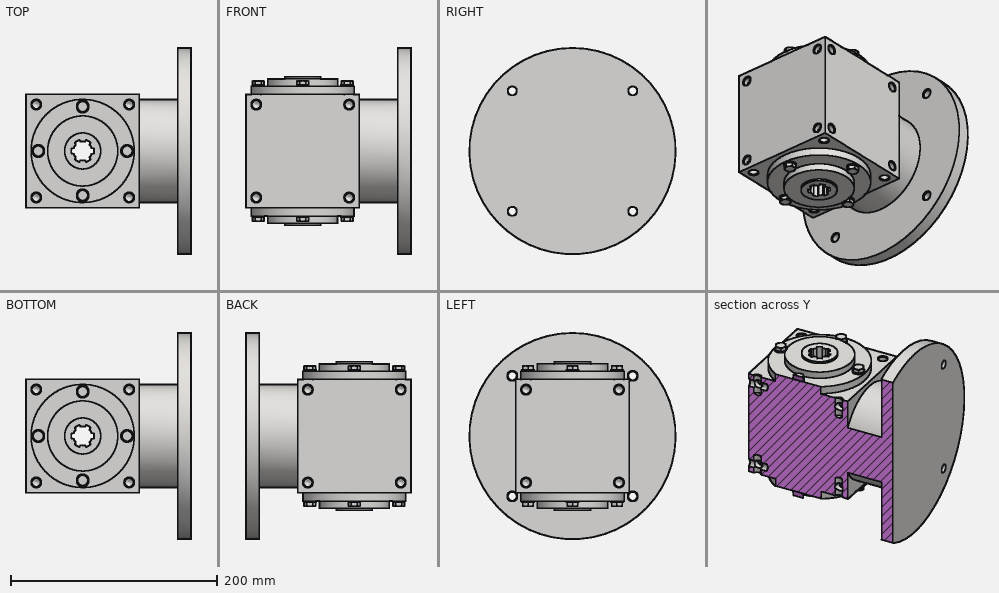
import cadquery as cq
import math


cube = 110.0
cover_diameter = 100.0
cover_height = 8.0
boss_diameter = 68.0
boss_height = 7.0
neck_diameter = 100.0
neck_length = 37.0
flange_diameter = 200.0
flange_thickness = 13.0

hole_diameter = 8.5
hole_mouth_diameter = 10.0
hole_chamfer = (hole_mouth_diameter - hole_diameter) / 2
hole_depth = 20.0
drill_point_angle = 118.0
hole_edge_distance = 10.0
flange_hole_circle = 165.0
flange_hole_count = 4
flange_hole_start_angle = 45.0

shaft_diameter = 35.0
shaft_projection = 2.0
spline_minor_diameter = 18.0
spline_major_diameter = 22.0
spline_width = 5.0
spline_count = 6

bolts_per_cover = 4
bolt_circle = 86.0
hex_sides = 6
hex_across_flats = 10.0
hex_height = 4.0
hex_chamfer_angle = 30.0
collar_diameter = 12.0
collar_height = 1.0

half_cube = cube / 2
cover_face = half_cube + cover_height
boss_face = cover_face + boss_height
shaft_length = 2 * (boss_face + shaft_projection)
flange_back = half_cube + neck_length
hole_offset = half_cube - hole_edge_distance


def cylinder(diameter, length, start, direction):
    """Cylinder with its first end centred at start, running along direction."""
    return cq.Solid.makeCylinder(diameter / 2, length, cq.Vector(*start), cq.Vector(*direction))


def mouth_cone(start, direction):
    """Chamfer cutter that widens a hole where it opens at start."""
    return cq.Solid.makeCone(
        hole_mouth_diameter / 2, hole_diameter / 2, hole_chamfer,
        cq.Vector(*start), cq.Vector(*direction),
    )


def blind_hole():
    """Cutter for a chamfered blind hole with a drill point, going down from the origin."""
    radius = hole_diameter / 2
    tip = hole_depth + radius / math.tan(math.radians(drill_point_angle / 2))
    return (
        cq.Workplane("XZ")
        .moveTo(0, 0)
        .lineTo(hole_mouth_diameter / 2, 0)
        .lineTo(radius, -hole_chamfer)
        .lineTo(radius, -hole_depth)
        .lineTo(0, -tip)
        .close()
        .revolve(360, (0, 0, 0), (0, 1, 0))
    )


def face_holes():
    """Cutter for the four corner holes of the top cube face."""
    corner_span = 2 * hole_offset
    hole = blind_hole().val()
    return (
        cq.Workplane("XY")
        .workplane(offset=half_cube)
        .rect(corner_span, corner_span, forConstruction=True)
        .vertices()
        .eachpoint(lambda place: hole.moved(place), combine=False)
    )


def drill_cube(body):
    """Drill the corner holes in every cube face except the one that carries the neck."""
    top_holes = face_holes()
    for angle in (0, 90, 180, 270):
        body = body.cut(top_holes.rotate((0, 0, 0), (1, 0, 0), angle))
    return body.cut(top_holes.rotate((0, 0, 0), (0, 1, 0), -90))


def drill_flange(body):
    """Drill the four through holes of the flange, chamfered on the side facing the cube."""
    for index in range(flange_hole_count):
        angle = math.radians(flange_hole_start_angle + index * 360 / flange_hole_count)
        y = flange_hole_circle / 2 * math.cos(angle)
        z = flange_hole_circle / 2 * math.sin(angle)
        start = (flange_back, y, z)
        body = body.cut(cq.Workplane(cylinder(hole_diameter, flange_thickness, start, (1, 0, 0))))
        body = body.cut(cq.Workplane(mouth_cone(start, (1, 0, 0))))
    return body


def make_housing():
    """Cube with a stepped cover above and below, a flanged neck and the shaft bore."""
    body = cq.Workplane("XY").box(cube, cube, cube)
    body = body.union(cq.Workplane(cylinder(neck_diameter, neck_length, (half_cube, 0, 0), (1, 0, 0))))
    body = body.union(cq.Workplane(cylinder(flange_diameter, flange_thickness, (flange_back, 0, 0), (1, 0, 0))))
    for side in (1, -1):
        outward = (0, 0, side)
        body = body.union(cq.Workplane(cylinder(cover_diameter, cover_height, (0, 0, side * half_cube), outward)))
        body = body.union(cq.Workplane(cylinder(boss_diameter, boss_height, (0, 0, side * cover_face), outward)))
    body = body.cut(cq.Workplane(cylinder(shaft_diameter, 2 * boss_face, (0, 0, -boss_face), (0, 0, 1))))
    return drill_flange(drill_cube(body))


def make_shaft():
    """Hollow shaft with a straight-sided internal spline along its full length."""
    base = (0, 0, -shaft_length / 2)
    body = cq.Workplane(cylinder(shaft_diameter, shaft_length, base, (0, 0, 1)))
    bore = cq.Workplane(cylinder(spline_minor_diameter, shaft_length, base, (0, 0, 1)))
    major = cq.Workplane(cylinder(spline_major_diameter, shaft_length, base, (0, 0, 1)))
    for index in range(spline_count // 2):
        bar = cq.Workplane("XY").box(spline_major_diameter + spline_width, spline_width, shaft_length)
        bar = bar.rotate((0, 0, 0), (0, 0, 1), index * 360 / spline_count)
        bore = bore.union(bar.intersect(major))
    return body.cut(bore)


def make_bolt():
    """Bolt head standing on the origin: round collar under a hexagon with chamfered top corners."""
    across_corners = hex_across_flats / math.cos(math.pi / hex_sides)
    collar = cq.Workplane("XY").circle(collar_diameter / 2).extrude(collar_height)
    hexagon = (
        cq.Workplane("XY")
        .workplane(offset=collar_height)
        .polygon(hex_sides, across_corners)
        .extrude(hex_height)
    )
    radius = collar_diameter / 2
    top_radius = hex_across_flats / 2
    top = collar_height + hex_height
    drop = (radius - top_radius) * math.tan(math.radians(hex_chamfer_angle))
    envelope = (
        cq.Workplane("XZ")
        .moveTo(0, 0)
        .lineTo(radius, 0)
        .lineTo(radius, top - drop)
        .lineTo(top_radius, top)
        .lineTo(0, top)
        .close()
        .revolve(360, (0, 0, 0), (0, 1, 0))
    )
    return collar.union(hexagon.intersect(envelope))


def make_bolts():
    """All cover bolts, seated on the upper and the lower cover, every hexagon turned the same way."""
    bolts = []
    for tilt in (0, 180):
        for index in range(bolts_per_cover):
            angle = 2 * math.pi * index / bolts_per_cover
            place = (bolt_circle / 2 * math.cos(angle), bolt_circle / 2 * math.sin(angle), cover_face)
            bolts.append(make_bolt().translate(place).rotate((0, 0, 0), (1, 0, 0), tilt).solids().val())
    return bolts


housing = make_housing()
shaft = make_shaft()
bolts = make_bolts()

result = cq.Compound.makeCompound([housing.solids().val(), shaft.solids().val(), *bolts])